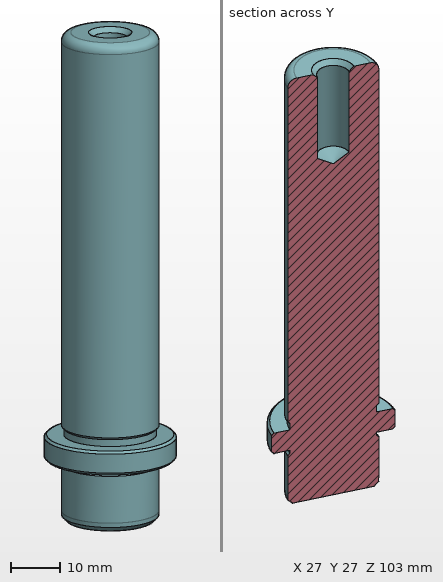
import cadquery as cq
import math

length = 103.0
pin_radius = 10.0
tip_fillet = 2.0

flange_radius = 13.5
flange_bottom = 13.0
flange_thickness = 5.0
flange_chamfer = 0.5
flange_top = flange_bottom + flange_thickness

groove_radius = 9.5
upper_groove_width = 2.0
lower_groove_width = 1.1
groove_slope = pin_radius - groove_radius

foot_chamfer = 1.0
lead_in_height = 2.0
lead_in_taper = 0.05
lead_in_radius = pin_radius - lead_in_taper

hole_radius = 3.4
hole_depth = 20.6
hole_chamfer = 1.0
drill_point_angle = 118.0


def make_body():
    """Revolve the half profile of the pin about Z."""
    lower_groove_bottom = flange_bottom - lower_groove_width
    upper_groove_top = flange_top + upper_groove_width
    flange_face_radius = flange_radius - flange_chamfer
    fillet_start = length - tip_fillet
    fillet_inset = tip_fillet * (1 - math.sqrt(0.5))
    return (
        cq.Workplane("XZ")
        .lineTo(lead_in_radius - foot_chamfer, 0)
        .lineTo(lead_in_radius, foot_chamfer)
        .lineTo(pin_radius, lead_in_height)
        .lineTo(pin_radius, lower_groove_bottom)
        .lineTo(groove_radius, lower_groove_bottom + groove_slope)
        .lineTo(groove_radius, flange_bottom)
        .lineTo(flange_face_radius, flange_bottom)
        .lineTo(flange_radius, flange_bottom + flange_chamfer)
        .lineTo(flange_radius, flange_top - flange_chamfer)
        .lineTo(flange_face_radius, flange_top)
        .lineTo(groove_radius, flange_top)
        .lineTo(groove_radius, upper_groove_top - groove_slope)
        .lineTo(pin_radius, upper_groove_top)
        .lineTo(pin_radius, fillet_start)
        .threePointArc(
            (pin_radius - fillet_inset, length - fillet_inset),
            (pin_radius - tip_fillet, length),
        )
        .lineTo(0, length)
        .close()
        .revolve(360, (0, 0, 0), (0, 1, 0))
    )


def make_centre_hole():
    """Solid to remove for the blind hole in the tip."""
    hole_bottom = length - hole_depth
    point_height = hole_radius / math.tan(math.radians(drill_point_angle / 2))
    return (
        cq.Workplane("XZ")
        .moveTo(0, length)
        .lineTo(hole_radius + hole_chamfer, length)
        .lineTo(hole_radius, length - hole_chamfer)
        .lineTo(hole_radius, hole_bottom)
        .lineTo(0, hole_bottom - point_height)
        .close()
        .revolve(360, (0, 0, 0), (0, 1, 0))
    )


result = make_body().cut(make_centre_hole())